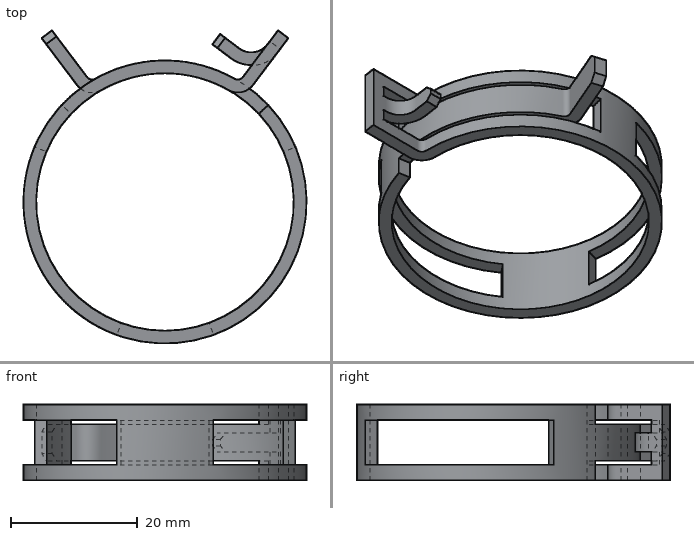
import cadquery as cq
import math


outer_radius = 22.35
thickness = 2.05
inner_radius = outer_radius - thickness
band_width = 12.0
body_end_angle = 43.2

window_height = 7.0
window_start_angle = -70.0
window_end_angle = 23.0

tab_angle = 53.0
tab_tip_radius = 32.36
inner_bend_radius = 1.0
outer_bend_radius = inner_bend_radius + thickness

tongue_width = 5.8
tongue_tip_chamfer = 1.2

slot_height = window_height
slot_end_radius = 30.2
hook_width = 3.0
hook_tip_chamfer = 1.0
hook_outer_radius = 5.3
hook_inner_radius = hook_outer_radius - thickness
hook_bottom_radius = 24.35
hook_reach = 9.0


def polar(radius, angle, centre=(0, 0)):
    """Point at a radius and an angle in degrees around a centre."""
    x = centre[0] + radius * math.cos(math.radians(angle))
    y = centre[1] + radius * math.sin(math.radians(angle))
    return (x, y)


def plan(height):
    """Workplane at the foot of a shape whose height is split evenly about Z = 0."""
    return cq.Workplane("XY", origin=(0, 0, -height / 2))


def make_sector(start_angle, end_angle, radius_in, radius_out, height, bottom):
    """Ring segment running counter-clockwise between two angles."""
    middle_angle = (start_angle + end_angle) / 2
    return (
        cq.Workplane("XY", origin=(0, 0, bottom))
        .moveTo(*polar(radius_in, start_angle))
        .lineTo(*polar(radius_out, start_angle))
        .threePointArc(polar(radius_out, middle_angle), polar(radius_out, end_angle))
        .lineTo(*polar(radius_in, end_angle))
        .threePointArc(polar(radius_in, middle_angle), polar(radius_in, start_angle))
        .close()
        .extrude(height)
    )


def make_bent_strip(sweep_angle):
    """Full-width ring strip bent outward into a tab along +X, with the tab's outer face on Y = 0.

    The strip runs counter-clockwise from the tab and ends at the sweep angle.
    """
    bend_distance = inner_radius + outer_bend_radius
    bend_angle = math.degrees(math.asin(outer_bend_radius / bend_distance))
    bend_centre = polar(bend_distance, bend_angle)
    bend_middle_angle = (180 + bend_angle + 270) / 2
    ring_middle_angle = (sweep_angle + bend_angle) / 2
    return (
        plan(band_width)
        .moveTo(*polar(inner_radius, sweep_angle))
        .threePointArc(polar(inner_radius, ring_middle_angle), polar(inner_radius, bend_angle))
        .threePointArc(polar(outer_bend_radius, bend_middle_angle, bend_centre), (bend_centre[0], 0))
        .lineTo(tab_tip_radius, 0)
        .lineTo(tab_tip_radius, thickness)
        .lineTo(bend_centre[0], thickness)
        .threePointArc(
            polar(inner_bend_radius, bend_middle_angle, bend_centre),
            polar(outer_radius, bend_angle),
        )
        .threePointArc(polar(outer_radius, ring_middle_angle), polar(outer_radius, sweep_angle))
        .close()
        .extrude(band_width)
    )


def place_right(shape):
    """Turn a shape built along +X to the direction of the right tab."""
    return shape.rotate((0, 0, 0), (0, 0, 1), tab_angle)


def make_hook():
    """Catch that leaves the slot end in the tab plane and bends square to the tab."""
    centre = (hook_bottom_radius + hook_outer_radius, hook_outer_radius)
    hook_top_radius = hook_bottom_radius + thickness
    bend_middle_angle = 225
    hook = (
        plan(hook_width)
        .moveTo(slot_end_radius, 0)
        .lineTo(centre[0], 0)
        .threePointArc(
            polar(hook_outer_radius, bend_middle_angle, centre),
            (hook_bottom_radius, centre[1]),
        )
        .lineTo(hook_bottom_radius, hook_reach)
        .lineTo(hook_top_radius, hook_reach)
        .lineTo(hook_top_radius, centre[1])
        .threePointArc(polar(hook_inner_radius, bend_middle_angle, centre), (centre[0], thickness))
        .lineTo(slot_end_radius, thickness)
        .close()
        .extrude(hook_width)
    )
    return hook.faces(">Y").edges("|X").chamfer(hook_tip_chamfer)


def make_fork():
    """Two strips joined at the tip by a full-width tab that carries the hook."""
    strip = make_bent_strip(180 - body_end_angle - tab_angle)
    slot_length = slot_end_radius + outer_radius
    slot = cq.Workplane("XY").box(slot_length, 2 * outer_radius + thickness, slot_height)
    slot = slot.translate((slot_end_radius - slot_length / 2, 0, 0))
    return place_right(strip.cut(slot).union(make_hook()))


def make_body_with_tongue():
    """Windowed full-width body that narrows at its right end into the tongue and the left tab."""
    strip = place_right(make_bent_strip(360 + body_end_angle - tab_angle)).mirror("YZ")

    left_tab_angle = 180 - tab_angle
    trim_end_angle = (left_tab_angle + 180 - body_end_angle) / 2
    trim_inner_radius = inner_radius - thickness
    trim_outer_radius = tab_tip_radius + thickness
    trim_height = (band_width - tongue_width) / 2
    for bottom in (-band_width / 2, tongue_width / 2):
        trim = make_sector(
            body_end_angle, trim_end_angle, trim_inner_radius, trim_outer_radius, trim_height, bottom
        )
        strip = strip.cut(trim)

    window_spans = (
        (window_start_angle, window_end_angle),
        (180 - window_end_angle, 180 - window_start_angle),
    )
    for start_angle, end_angle in window_spans:
        window = make_sector(
            start_angle,
            end_angle,
            inner_radius - thickness,
            outer_radius + thickness,
            window_height,
            -window_height / 2,
        )
        strip = strip.cut(window)
    return strip


def chamfer_tongue_tip(body):
    """Bevel the two corners of the left tab's end."""
    tip_direction = cq.Vector(*polar(1, 180 - tab_angle), 0)
    across_direction = cq.Vector(*polar(1, 90 - tab_angle), 0)
    tip_face = body.faces(cq.DirectionMinMaxSelector(tip_direction))
    return tip_face.edges(cq.ParallelDirSelector(across_direction)).chamfer(tongue_tip_chamfer)


result = chamfer_tongue_tip(make_body_with_tongue()).union(make_fork())